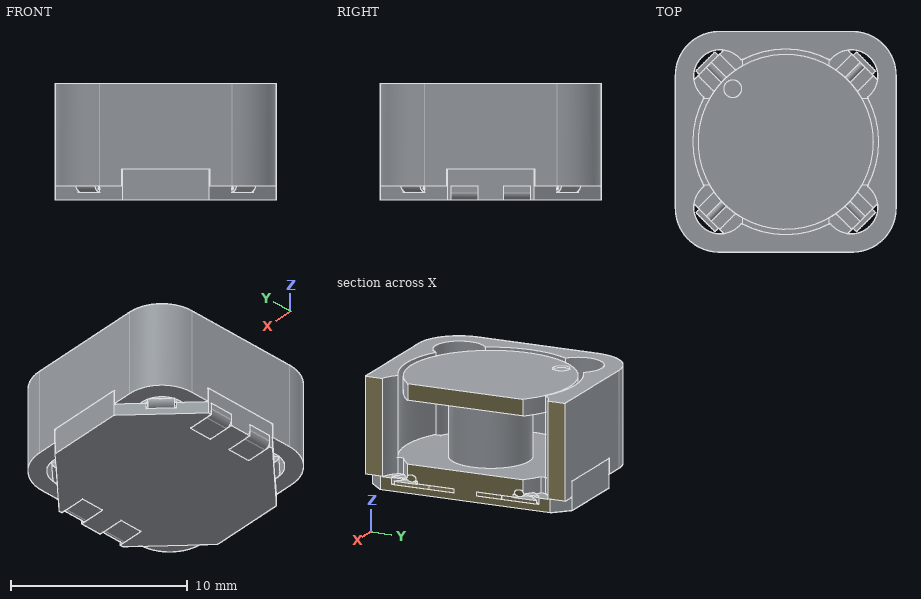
import cadquery as cq
import math


SIDE = 12.5
HALF_SIDE = SIDE / 2
TOTAL_HEIGHT = 6.6
BASE_HEIGHT = 0.8

HOUSING_CORNER_RADIUS = 2.5
BORE_DIAMETER = 10.5
CORNER_HOLE_DIAMETER = 3.0
CORNER_HOLE_OFFSET = 3.7
NOTCH_WIDTH = 5.0
TAB_TOP = 1.75

SIDE_GAP = 0.05
TAB_WIDTH = NOTCH_WIDTH - 2 * SIDE_GAP
DRUM_DIAMETER = 9.9
WAIST_DIAMETER = 4.8
DRUM_TOP = TOTAL_HEIGHT - 0.1
TOP_FLANGE_THICKNESS = 1.0
MARK_DIAMETER = 1.0
MARK_OFFSET = 3.0
MARK_DEPTH = 0.1

CORNER_FACE_RADIUS = (HALF_SIDE + TAB_WIDTH / 2) / math.sqrt(2)
CORNER_BLOCK_WIDTH = 1.72
CORNER_BLOCK_TOP = BASE_HEIGHT + 0.1
SLOT_FLOOR = 0.42
CORNER_INNER_RADIUS = 4.5

STRIP_THICKNESS = 0.2
STRIP_WIDTH = 1.52
STRIP_CENTER_Y = 1.48
STRIP_BEND_RADIUS = 0.4
PAD_LENGTH = 1.75
PLATE_TOP = SLOT_FLOOR + STRIP_THICKNESS
LINK_INNER_X = 2.0
DIAGONAL_INNER_RADIUS = 2.75
LIP_REACH = 0.28
LIP_BEND_RADIUS = 0.45

WIRE_DIAMETER = 0.4

CORNERS = [(-1, -1), (1, -1), (1, 1), (-1, 1)]


def block(x_min, x_max, width, z_min, z_max, y_center=0.0):
    """Box from x_min to x_max and z_min to z_max, centred on y_center."""
    return (
        cq.Workplane("XY")
        .box(x_max - x_min, width, z_max - z_min, centered=(False, True, False))
        .translate((x_min, y_center, z_min))
    )


def disc(diameter, z_min, z_max, x=0.0, y=0.0):
    """Upright cylinder."""
    return (
        cq.Workplane("XY", origin=(x, y, z_min))
        .circle(diameter / 2)
        .extrude(z_max - z_min)
    )


def cross(width, z_min, z_max):
    """Two full-length bars of the given width, crossing at the centre."""
    bar = block(-HALF_SIDE, HALF_SIDE, width, z_min, z_max)
    return bar.union(bar.rotate((0, 0, 0), (0, 0, 1), 90))


def on_diagonal(body):
    """Turn a body that lies along +X onto the +X +Y diagonal."""
    return body.rotate((0, 0, 0), (0, 0, 1), 45)


def in_quadrant(body, x_sign, y_sign):
    """Mirror a body from the +X +Y quadrant into the given one."""
    if x_sign < 0:
        body = body.mirror("YZ")
    if y_sign < 0:
        body = body.mirror("XZ")
    return body


def make_housing():
    housing = (
        block(-HALF_SIDE, HALF_SIDE, SIDE, BASE_HEIGHT, TOTAL_HEIGHT)
        .edges("|Z")
        .fillet(HOUSING_CORNER_RADIUS)
        .cut(disc(BORE_DIAMETER, BASE_HEIGHT, TOTAL_HEIGHT))
        .cut(cross(NOTCH_WIDTH, BASE_HEIGHT, TAB_TOP))
    )
    for x_sign, y_sign in CORNERS:
        hole_x = x_sign * CORNER_HOLE_OFFSET
        hole_y = y_sign * CORNER_HOLE_OFFSET
        hole = disc(CORNER_HOLE_DIAMETER, BASE_HEIGHT, TOTAL_HEIGHT, hole_x, hole_y)
        housing = housing.cut(hole)
    return housing


def make_terminal():
    """Terminal of the +X +Y quadrant, from the solder pad to the corner lip."""
    strip = (
        block(HALF_SIDE - PAD_LENGTH, HALF_SIDE, STRIP_WIDTH, 0, BASE_HEIGHT, STRIP_CENTER_Y)
        .edges("|Y and >X and <Z")
        .fillet(STRIP_BEND_RADIUS)
    )
    inside_of_bend = (
        block(
            HALF_SIDE - PAD_LENGTH,
            HALF_SIDE - STRIP_THICKNESS,
            STRIP_WIDTH,
            STRIP_THICKNESS,
            BASE_HEIGHT,
            STRIP_CENTER_Y,
        )
        .edges("|Y and >X and <Z")
        .fillet(STRIP_BEND_RADIUS - STRIP_THICKNESS)
    )
    strip = strip.cut(inside_of_bend)

    leg_inner_x = HALF_SIDE - STRIP_THICKNESS
    link = block(LINK_INNER_X, leg_inner_x, STRIP_WIDTH, SLOT_FLOOR, PLATE_TOP, STRIP_CENTER_Y)
    lip_tip = CORNER_FACE_RADIUS + LIP_REACH
    plate = block(DIAGONAL_INNER_RADIUS, lip_tip, STRIP_WIDTH, SLOT_FLOOR, CORNER_BLOCK_TOP)

    above_plate = block(
        DIAGONAL_INNER_RADIUS, CORNER_FACE_RADIUS, STRIP_WIDTH, PLATE_TOP, CORNER_BLOCK_TOP
    )
    plate = plate.edges("|Y and >X and <Z").fillet(LIP_BEND_RADIUS).cut(above_plate)
    return strip.union(link).union(on_diagonal(plate))


def make_lead():
    """Wire of the +X +Y quadrant, half sunk in the corner block, ending at its face."""
    wire = (
        cq.Workplane("YZ", origin=(CORNER_INNER_RADIUS, 0, CORNER_BLOCK_TOP))
        .circle(WIRE_DIAMETER / 2)
        .extrude(CORNER_FACE_RADIUS - CORNER_INNER_RADIUS)
    )
    return on_diagonal(wire)


def make_corner_block():
    return on_diagonal(
        block(
            CORNER_INNER_RADIUS,
            CORNER_FACE_RADIUS,
            CORNER_BLOCK_WIDTH,
            BASE_HEIGHT,
            CORNER_BLOCK_TOP,
        )
    )


def make_corner_slot():
    return on_diagonal(
        block(CORNER_INNER_RADIUS, CORNER_FACE_RADIUS, CORNER_BLOCK_WIDTH, SLOT_FLOOR, BASE_HEIGHT)
    )


def make_bend_recess():
    """Square-cornered space between the rounded bend of a terminal and the base outline."""
    return block(
        HALF_SIDE - STRIP_BEND_RADIUS, HALF_SIDE, STRIP_WIDTH, 0, STRIP_BEND_RADIUS, STRIP_CENTER_Y
    ).cut(block(0, HALF_SIDE - STRIP_THICKNESS, SIDE, STRIP_THICKNESS, BASE_HEIGHT))


def make_core(terminals, leads):
    corner_cut = HALF_SIDE - TAB_WIDTH / 2
    core = (
        block(-HALF_SIDE, HALF_SIDE, SIDE, 0, BASE_HEIGHT)
        .edges("|Z")
        .chamfer(corner_cut)
        .union(cross(TAB_WIDTH, BASE_HEIGHT, TAB_TOP))
    )

    top_flange_bottom = DRUM_TOP - TOP_FLANGE_THICKNESS
    core = (
        core.union(disc(DRUM_DIAMETER, BASE_HEIGHT, TAB_TOP))
        .union(disc(WAIST_DIAMETER, TAB_TOP, top_flange_bottom))
        .union(disc(DRUM_DIAMETER, top_flange_bottom, DRUM_TOP))
    )

    for corner in CORNERS:
        core = (
            core.union(in_quadrant(make_corner_block(), *corner))
            .cut(in_quadrant(make_corner_slot(), *corner))
            .cut(in_quadrant(make_bend_recess(), *corner))
        )

    for insert in terminals + leads:
        core = core.cut(insert)

    mark = disc(MARK_DIAMETER, DRUM_TOP - MARK_DEPTH, DRUM_TOP, -MARK_OFFSET, MARK_OFFSET)
    return core.cut(mark)


housing = make_housing()
terminals = [in_quadrant(make_terminal(), *corner) for corner in CORNERS]
leads = [in_quadrant(make_lead(), *corner) for corner in CORNERS]
core = make_core(terminals, leads)

bodies = [housing, core, *terminals, *leads]
result = cq.Compound.makeCompound([body.solids().val() for body in bodies])